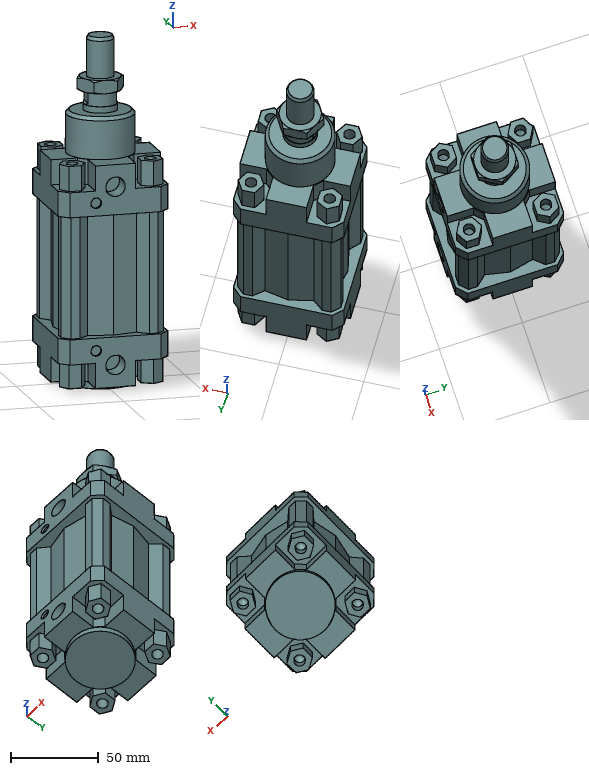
import cadquery as cq
import math


TOTAL_HEIGHT = 204.0
SPIGOT_HEIGHT = 4.0
HEAD_HEIGHT = 29.5
BARREL_HEIGHT = 72.0
BOSS_TOP = 160.1
NUT_BOTTOM = 172.0
NUT_HEIGHT = 8.0

BARREL_BOTTOM = SPIGOT_HEIGHT + HEAD_HEIGHT
BARREL_TOP = BARREL_BOTTOM + BARREL_HEIGHT

HEAD_WIDTH = 65.0
HEAD_CORNER_CHAMFER = 5.5
POCKET_DEPTH = HEAD_HEIGHT / 2
CROSS_ARM_WIDTH = 23.9
POCKET_INNER_CHAMFER = 4.9

BOSS_DIAMETER = 40.0
BOSS_CHAMFER = 2.0

TIE_SPACING = 46.3
TIE_NUT_ACROSS_FLATS = 13.0
TIE_HOLE_DIAMETER = 6.5
TIE_HOLE_DEPTH = 12.2
DRILL_POINT_ANGLE = 118.0

PORT_DIAMETER = 11.5
PORT_DEPTH = 12.2
PORT_FROM_END = 13.0
SCREW_DIAMETER = 6.1
SCREW_DEPTH = 1.5
SCREW_FROM_END = 22.0
SCREW_X = -11.5

BARREL_WIDTH = 60.8
BARREL_CORNER_CHAMFER = 4.5
GROOVE_MOUTH_HALF = 20.6
GROOVE_FLOOR_HALF = 14.5
GROOVE_DEPTH = 5.3
RIDGE_DEPTH = 2.2

ROD_DIAMETER = 20.0
ROD_SHOULDER = 163.8
NECK_DIAMETER = 19.4
THREAD_DIAMETER = 16.0
THREAD_CHAMFER_LENGTH = 2.0
THREAD_CHAMFER_WIDTH = 1.0
ROD_ACROSS_FLATS = 17.0
FLAT_BOTTOM = 165.0

NUT_ACROSS_FLATS = 24.0
NUT_CHAMFER_ANGLE = 30.0


def hex_prism(across_flats, height):
    """Hexagonal prism standing on Z = 0, with two corners on the X axis."""
    across_corners = across_flats / math.cos(math.pi / 6)
    return cq.Workplane("XY").polygon(6, across_corners).extrude(height)


def head_block():
    """Upper head standing on Z = 0: a chamfered square with a pocket in each upper corner."""
    block = (
        cq.Workplane("XY")
        .rect(HEAD_WIDTH, HEAD_WIDTH)
        .extrude(HEAD_HEIGHT)
        .edges("|Z")
        .chamfer(HEAD_CORNER_CHAMFER)
    )
    pocket_inner = CROSS_ARM_WIDTH / 2
    pocket_size = HEAD_WIDTH / 2
    pocket = (
        cq.Workplane("XY", origin=(pocket_inner, pocket_inner, HEAD_HEIGHT - POCKET_DEPTH))
        .rect(pocket_size, pocket_size, centered=False)
        .extrude(POCKET_DEPTH)
        .edges("|Z and <X and <Y")
        .chamfer(POCKET_INNER_CHAMFER)
    )
    for quarter in range(4):
        block = block.cut(pocket.rotate((0, 0, 0), (0, 0, 1), 90 * quarter))
    return block


def tie_nut():
    """Tie-rod nut standing on Z = 0, with a blind hole that ends in a drill point."""
    radius = TIE_HOLE_DIAMETER / 2
    point_height = radius / math.tan(math.radians(DRILL_POINT_ANGLE / 2))
    point_bottom = POCKET_DEPTH - TIE_HOLE_DEPTH
    hole = (
        cq.Workplane("XZ")
        .polyline([
            (0, point_bottom),
            (radius, point_bottom + point_height),
            (radius, POCKET_DEPTH),
            (0, POCKET_DEPTH),
        ])
        .close()
        .revolve(360, (0, 0, 0), (0, 1, 0))
    )
    return hex_prism(TIE_NUT_ACROSS_FLATS, POCKET_DEPTH).cut(hole)


def face_hole(x, z, diameter, depth):
    """Cutter for a blind round hole in the -Y face of a head."""
    return (
        cq.Workplane("XZ", origin=(x, -HEAD_WIDTH / 2, z))
        .circle(diameter / 2)
        .extrude(-depth)
    )


def make_head():
    """Complete upper head standing on Z = 0."""
    head = head_block()
    nut = tie_nut().translate((TIE_SPACING / 2, TIE_SPACING / 2, HEAD_HEIGHT - POCKET_DEPTH))
    for quarter in range(4):
        head = head.union(nut.rotate((0, 0, 0), (0, 0, 1), 90 * quarter))
    head = head.cut(face_hole(0, HEAD_HEIGHT - PORT_FROM_END, PORT_DIAMETER, PORT_DEPTH))
    return head.cut(face_hole(SCREW_X, HEAD_HEIGHT - SCREW_FROM_END, SCREW_DIAMETER, SCREW_DEPTH))


def make_barrel():
    """Square barrel with a wide groove along each side, whose floor rises to a low ridge."""
    barrel = (
        cq.Workplane("XY", origin=(0, 0, BARREL_BOTTOM))
        .rect(BARREL_WIDTH, BARREL_WIDTH)
        .extrude(BARREL_HEIGHT)
        .edges("|Z")
        .chamfer(BARREL_CORNER_CHAMFER)
    )
    face = BARREL_WIDTH / 2
    groove = (
        cq.Workplane("XY", origin=(0, 0, BARREL_BOTTOM))
        .polyline([
            (-GROOVE_MOUTH_HALF, face),
            (-GROOVE_FLOOR_HALF, face - GROOVE_DEPTH),
            (0, face - RIDGE_DEPTH),
            (GROOVE_FLOOR_HALF, face - GROOVE_DEPTH),
            (GROOVE_MOUTH_HALF, face),
        ])
        .close()
        .extrude(BARREL_HEIGHT)
    )
    for quarter in range(4):
        barrel = barrel.cut(groove.rotate((0, 0, 0), (0, 0, 1), 90 * quarter))
    return barrel


def make_housing():
    """Barrel, two mirrored heads, upper boss and lower spigot as one solid."""
    head = make_head()
    upper_head = head.translate((0, 0, BARREL_TOP))
    lower_head = head.mirror("XY").translate((0, 0, BARREL_BOTTOM))
    boss = (
        cq.Workplane("XY", origin=(0, 0, BARREL_TOP))
        .circle(BOSS_DIAMETER / 2)
        .extrude(BOSS_TOP - BARREL_TOP)
        .faces(">Z")
        .chamfer(BOSS_CHAMFER)
    )
    spigot = cq.Workplane("XY").circle(BOSS_DIAMETER / 2).extrude(BARREL_BOTTOM)
    return make_barrel().union(upper_head).union(lower_head).union(boss).union(spigot)


def make_rod():
    """Rod standing on the boss: a neck with two wrench flats, then a thinner threaded end."""
    rod_radius = ROD_DIAMETER / 2
    neck_radius = NECK_DIAMETER / 2
    thread_radius = THREAD_DIAMETER / 2
    rod = (
        cq.Workplane("XZ")
        .polyline([
            (0, BOSS_TOP),
            (rod_radius, BOSS_TOP),
            (rod_radius, ROD_SHOULDER),
            (neck_radius, ROD_SHOULDER),
            (neck_radius, NUT_BOTTOM),
            (thread_radius, NUT_BOTTOM),
            (thread_radius, TOTAL_HEIGHT - THREAD_CHAMFER_LENGTH),
            (thread_radius - THREAD_CHAMFER_WIDTH, TOTAL_HEIGHT),
            (0, TOTAL_HEIGHT),
        ])
        .close()
        .revolve(360, (0, 0, 0), (0, 1, 0))
    )
    flat_x = ROD_ACROSS_FLATS / 2
    flat_depth = neck_radius - flat_x
    flat_cut = (
        cq.Workplane("XZ")
        .polyline([
            (flat_x, NUT_BOTTOM),
            (flat_x, FLAT_BOTTOM),
            (neck_radius, FLAT_BOTTOM - flat_depth),
            (neck_radius, NUT_BOTTOM),
        ])
        .close()
        .extrude(rod_radius, both=True)
    )
    for half_turn in range(2):
        rod = rod.cut(flat_cut.rotate((0, 0, 0), (0, 0, 1), 180 * half_turn))
    return rod


def make_lock_nut():
    """Hexagonal nut on the thread, with the corners of both ends turned conical."""
    flat_radius = NUT_ACROSS_FLATS / 2
    corner_radius = flat_radius / math.cos(math.pi / 6)
    corner_drop = (corner_radius - flat_radius) * math.tan(math.radians(NUT_CHAMFER_ANGLE))
    turned_envelope = (
        cq.Workplane("XZ")
        .polyline([
            (0, 0),
            (flat_radius, 0),
            (corner_radius, corner_drop),
            (corner_radius, NUT_HEIGHT - corner_drop),
            (flat_radius, NUT_HEIGHT),
            (0, NUT_HEIGHT),
        ])
        .close()
        .revolve(360, (0, 0, 0), (0, 1, 0))
    )
    bore = cq.Workplane("XY").circle(THREAD_DIAMETER / 2).extrude(NUT_HEIGHT)
    nut = hex_prism(NUT_ACROSS_FLATS, NUT_HEIGHT).intersect(turned_envelope).cut(bore)
    return nut.translate((0, 0, NUT_BOTTOM))


housing = make_housing()
rod = make_rod()
lock_nut = make_lock_nut()

result = cq.Compound.makeCompound([housing.solids().val(), rod.solids().val(), lock_nut.solids().val()])